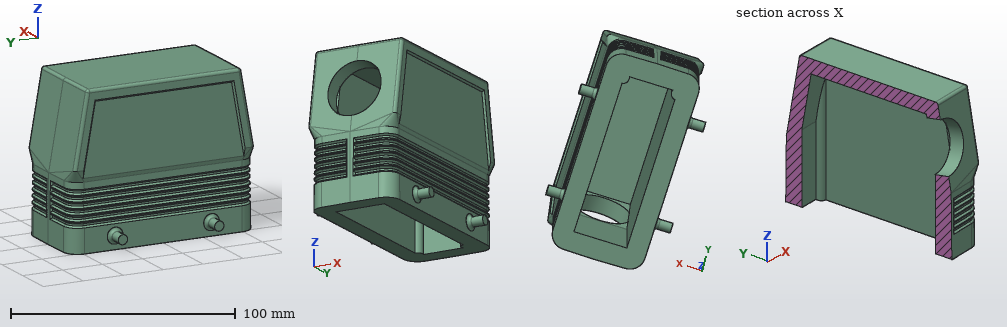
import cadquery as cq
import math

LENGTH = 93.5
WIDTH_OVER_PINS = 58.0
HEIGHT = 76.0

SKIRT_WIDTH = 43.0
SKIRT_HEIGHT = 33.2
SKIRT_DRAFT_INSET = 0.4
SKIRT_CORNER_RADIUS = 7.0
SKIRT_PEAK_ANGLE = 1.0

GROOVE_COUNT = 6
GROOVES_BOTTOM_Z = 12.1
GROOVES_TOP_Z = 29.9
GROOVE_DEPTH = 0.9
GROOVE_SLOPE_HEIGHT = 0.8
RIDGE_LAND = 0.5
RIB_WIDTH = 2.8

HOOD_WIDTH = 45.1
HOOD_PEAK_ANGLE = 0.5
HOOD_BASE_Z = 39.0
HOOD_END_ANGLE = 10.0
HOOD_EDGE_RADIUS = 1.5

PANEL_TOP_Z = 70.9
PANEL_END_MARGIN = 5.0
PANEL_DEPTH = 0.9
PANEL_BEVEL = 0.8

ENTRY_RADIUS = 13.6
ENTRY_Z = 54.4
CAVITY_WIDTH = 24.7
WALL = 7.9
PILLAR_RADIUS = 2.8
PILLAR_X = 12.7
PILLAR_Y = 36.3

PIN_RADIUS = 2.3
PIN_ROOT_RADIUS = 1.6
PIN_Z = 6.5
PIN_SPACING = 48.2

END_SLOPE = math.tan(math.radians(HOOD_END_ANGLE))
SKIRT_TOP_PEAK_Y = LENGTH / 2 - SKIRT_DRAFT_INSET
GROOVE_PITCH = (GROOVES_TOP_Z - GROOVES_BOTTOM_Z + RIDGE_LAND) / GROOVE_COUNT


def peaked_outline(half_width, peak_y, peak_angle, z):
    """Six-point outline at height z with both ends pointed on the centre plane."""
    corner_y = peak_y - half_width * math.tan(math.radians(peak_angle))
    corners = [
        (0, -peak_y),
        (half_width, -corner_y),
        (half_width, corner_y),
        (0, peak_y),
        (-half_width, corner_y),
        (-half_width, -corner_y),
    ]
    return cq.Wire.makePolygon([cq.Vector(x, y, z) for x, y in corners], close=True)


def skirt_outline(z, depth=0.0):
    """Rounded skirt section at height z, moved inwards by the draft and an extra depth."""
    inset = SKIRT_DRAFT_INSET * z / SKIRT_HEIGHT + depth
    outline = peaked_outline(SKIRT_WIDTH / 2 - inset, LENGTH / 2 - inset, SKIRT_PEAK_ANGLE, z)
    corners = [v for v in outline.Vertices() if abs(v.X) > SKIRT_WIDTH / 4]
    return outline.fillet2D(SKIRT_CORNER_RADIUS - inset, corners)


def ruled_solid(outlines):
    return cq.Workplane(cq.Solid.makeLoft(outlines, True))


def make_skirt():
    plain = ruled_solid([skirt_outline(0), skirt_outline(SKIRT_HEIGHT)])
    sections = [skirt_outline(0)]
    for number in range(GROOVE_COUNT):
        bottom = GROOVES_BOTTOM_Z + number * GROOVE_PITCH
        top = bottom + GROOVE_PITCH - RIDGE_LAND
        sections.append(skirt_outline(bottom))
        sections.append(skirt_outline(bottom + GROOVE_SLOPE_HEIGHT, GROOVE_DEPTH))
        sections.append(skirt_outline(top - GROOVE_SLOPE_HEIGHT, GROOVE_DEPTH))
        sections.append(skirt_outline(top))
    sections.append(skirt_outline(SKIRT_HEIGHT))
    grooved = ruled_solid(sections)

    face_y = LENGTH / 2
    root_y = face_y - 2 * GROOVE_DEPTH
    root_half_width = RIB_WIDTH / 2 + 2 * GROOVE_SLOPE_HEIGHT
    rib_zone = (
        cq.Workplane("XY")
        .polyline([
            (-RIB_WIDTH / 2, -face_y),
            (RIB_WIDTH / 2, -face_y),
            (root_half_width, -root_y),
            (root_half_width, root_y),
            (RIB_WIDTH / 2, face_y),
            (-RIB_WIDTH / 2, face_y),
            (-root_half_width, root_y),
            (-root_half_width, -root_y),
        ])
        .close()
        .extrude(SKIRT_HEIGHT)
    )
    return grooved.union(plain.intersect(rib_zone))


def hood_peak_y(z):
    """Distance of the hood's end from the middle, on the centre plane, at height z."""
    return SKIRT_TOP_PEAK_Y - END_SLOPE * (z - SKIRT_HEIGHT)


def flat_face(*points):
    return cq.Face.makeFromWires(cq.Wire.makePolygon(points, close=True))


def solid_from_faces(faces):
    return cq.Workplane(cq.Solid.makeSolid(cq.Shell.makeShell(faces)))


def make_hood():
    bottom, top = [
        peaked_outline(HOOD_WIDTH / 2, hood_peak_y(z), HOOD_PEAK_ANGLE, z) for z in (HOOD_BASE_Z, HEIGHT)
    ]
    faces = [cq.Face.makeFromWires(bottom), cq.Face.makeFromWires(top)]
    for low, high in zip(bottom.Edges(), top.Edges()):
        faces.append(flat_face(low.startPoint(), low.endPoint(), high.endPoint(), high.startPoint()))
    hood = solid_from_faces(faces)
    side_edges = hood.faces("<X or >X").edges("not <Z")
    end_top_edges = hood.faces(">Z").edges("not(<X or >X)")
    return hood.newObject(side_edges.vals() + end_top_edges.vals()).fillet(HOOD_EDGE_RADIUS)


def corner_arc(face, x_sign, y_sign):
    """The rounded corner edge of a horizontal face in the given quadrant."""
    for edge in face.Edges():
        middle = edge.positionAt(0.5)
        if edge.geomType() != "LINE" and middle.x * x_sign > 0 and middle.y * y_sign > 0:
            return edge


def arc_ends(edge):
    """The arc's end on the long side, then its end on the peaked end."""
    return sorted((edge.startPoint(), edge.endPoint()), key=lambda point: -abs(point.x))


def make_shoulder(hood):
    """Transition from the sharp-cornered hood down to the rounded skirt."""
    upper = hood.faces("<Z").val()
    lower = cq.Face.makeFromWires(skirt_outline(SKIRT_HEIGHT)).mirror("YZ")
    faces = [upper, lower]
    for x_sign in (-1, 1):
        side = []
        for y_sign in (-1, 1):
            upper_arc = corner_arc(upper, x_sign, y_sign)
            lower_arc = corner_arc(lower, x_sign, y_sign)
            upper_side, upper_end = arc_ends(upper_arc)
            lower_side, lower_end = arc_ends(lower_arc)
            upper_peak = cq.Vector(0, y_sign * hood_peak_y(HOOD_BASE_Z), HOOD_BASE_Z)
            lower_peak = cq.Vector(0, y_sign * SKIRT_TOP_PEAK_Y, SKIRT_HEIGHT)
            faces.append(cq.Face.makeRuledSurface(upper_arc, lower_arc))
            faces.append(flat_face(upper_end, upper_peak, lower_peak))
            faces.append(flat_face(upper_end, lower_peak, lower_end))
            side.append((upper_side, lower_side))
        faces.append(flat_face(side[0][0], side[1][0], side[1][1], side[0][1]))
    return solid_from_faces(faces)


def sloped_trapezoid(plane, end_margin, bottom_z, top_z):
    """Outline that stays end_margin inside both sloping ends of the hood."""
    bottom_y = hood_peak_y(bottom_z) - end_margin
    top_y = hood_peak_y(top_z) - end_margin
    corners = [(-bottom_y, bottom_z), (bottom_y, bottom_z), (top_y, top_z), (-top_y, top_z)]
    return plane.polyline(corners).close()


def make_panel_cutter():
    """Bevelled recess on the +X side, running out through the shoulder."""
    rim = cq.Workplane("YZ", origin=(HOOD_WIDTH / 2, 0, 0))
    rim = sloped_trapezoid(rim, PANEL_END_MARGIN, SKIRT_HEIGHT, PANEL_TOP_Z)
    floor = rim.workplane(offset=-PANEL_DEPTH)
    floor = sloped_trapezoid(floor, PANEL_END_MARGIN + PANEL_BEVEL, SKIRT_HEIGHT, PANEL_TOP_Z - PANEL_BEVEL)
    return floor.loft(ruled=True)


def make_cavity():
    """Pocket open below, leaning in with the hood's ends, with pillars in its two +Y corners."""
    roof_z = HEIGHT - WALL
    end_margin = WALL / math.cos(math.radians(HOOD_END_ANGLE))
    lower_length = 2 * (hood_peak_y(HOOD_BASE_Z) - end_margin)
    lower = cq.Workplane("XY").rect(CAVITY_WIDTH, lower_length).extrude(HOOD_BASE_Z)
    upper = sloped_trapezoid(cq.Workplane("YZ"), end_margin, HOOD_BASE_Z, roof_z)
    upper = upper.extrude(CAVITY_WIDTH / 2, both=True)
    pillars = (
        cq.Workplane("XY")
        .pushPoints([(-PILLAR_X, PILLAR_Y), (PILLAR_X, PILLAR_Y)])
        .circle(PILLAR_RADIUS)
        .extrude(roof_z)
    )
    return lower.union(upper).cut(pillars)


def make_entry():
    """Round cable entry, square to the sloping -Y end."""
    angle = math.radians(HOOD_END_ANGLE)
    inwards = cq.Vector(0, math.cos(angle), -math.sin(angle))
    centre = cq.Vector(0, -hood_peak_y(ENTRY_Z), ENTRY_Z)
    start = centre - inwards * WALL
    return cq.Workplane(cq.Solid.makeCylinder(ENTRY_RADIUS, 2 * WALL, start, inwards))


def make_pin():
    """Pin on the +X side, with a concave flare where it meets the skirt."""
    wall_x = SKIRT_WIDTH / 2
    embedded_x = wall_x - GROOVE_DEPTH
    flare_end_x = wall_x + PIN_ROOT_RADIUS
    flare_radius = PIN_RADIUS + PIN_ROOT_RADIUS
    arc_offset = PIN_ROOT_RADIUS * (1 - math.sqrt(0.5))
    return (
        cq.Workplane("XY")
        .moveTo(embedded_x, 0)
        .lineTo(embedded_x, flare_radius)
        .lineTo(wall_x, flare_radius)
        .threePointArc((wall_x + arc_offset, PIN_RADIUS + arc_offset), (flare_end_x, PIN_RADIUS))
        .lineTo(WIDTH_OVER_PINS / 2, PIN_RADIUS)
        .lineTo(WIDTH_OVER_PINS / 2, 0)
        .close()
        .revolve(360, (0, 0, 0), (1, 0, 0))
    )


hood = make_hood()
body = make_skirt().union(make_shoulder(hood)).union(hood).clean()

panel = make_panel_cutter()
body = body.cut(panel).cut(panel.mirror("YZ"))
body = body.cut(make_cavity()).cut(make_entry())

pin = make_pin()
for pin_y in (-PIN_SPACING / 2, PIN_SPACING / 2):
    placed_pin = pin.translate((0, pin_y, PIN_Z))
    body = body.union(placed_pin).union(placed_pin.mirror("YZ"))

result = cq.Workplane(body.solids().val())